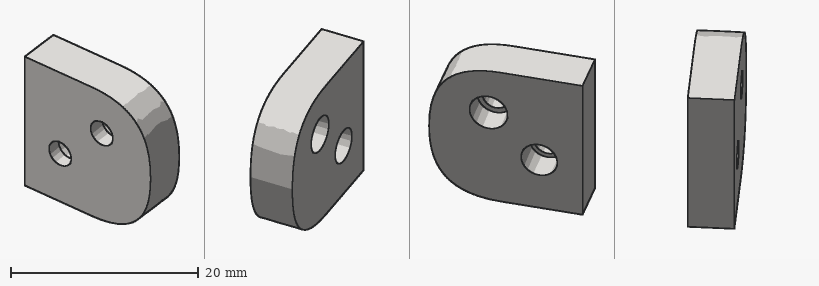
import cadquery as cq

side = 17.0
thickness = 5.02

straight_length = 9.06
top_reach = 6.75
mid_height = side / 2
nose_reach = mid_height / 2

bore_diameter = 3.0
lower_hole = (4.8, 6.32)
lower_bore_depth = 1.65
lower_counterbore_diameter = 4.0
upper_hole = (10.4, 11.5)
upper_bore_depth = 2.0
upper_counterbore_diameter = 4.2


def make_plate():
    arm_end = straight_length + top_reach
    nose = (side, mid_height)
    outline = (
        cq.Workplane("XZ")
        .lineTo(straight_length, 0)
        .bezier(
            [(arm_end, 0), (side, mid_height - nose_reach), nose],
            includeCurrent=True,
        )
        .bezier(
            [(side, mid_height + nose_reach), (arm_end, side), (straight_length, side)],
            includeCurrent=True,
        )
        .lineTo(0, side)
        .close()
    )
    return outline.extrude(-thickness)


def make_stepped_hole(center, bore_depth, counterbore_diameter):
    bore = cq.Workplane("XZ").center(*center).circle(bore_diameter / 2).extrude(-thickness)
    counterbore = (
        cq.Workplane("XZ", origin=(0, bore_depth, 0))
        .center(*center)
        .circle(counterbore_diameter / 2)
        .extrude(bore_depth - thickness)
    )
    return bore.union(counterbore)


result = (
    make_plate()
    .cut(make_stepped_hole(lower_hole, lower_bore_depth, lower_counterbore_diameter))
    .cut(make_stepped_hole(upper_hole, upper_bore_depth, upper_counterbore_diameter))
)